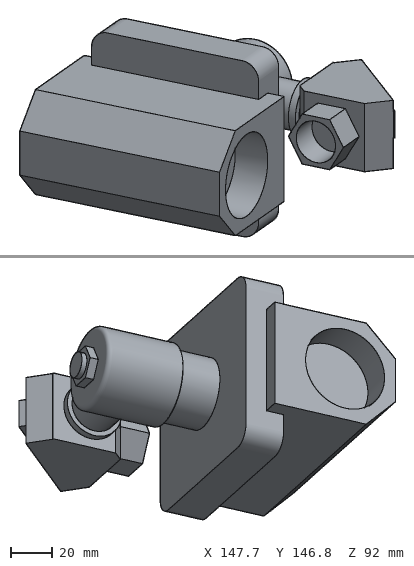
import cadquery as cq
import math


block_length = 110.0
block_height = 55.0
block_depth = 65.5
block_chamfer = 16.0
port_diameter = 42.8
port_depth = 17.9
flange_size = 92.0
flange_front = 56.3
flange_back = 76.6
flange_corner_radius = 9.0
tube_diameter = 36.0

coil_diameter = 42.0
coil_bottom = 98.0
coil_top = 138.5
coil_fillet = 2.2
seat_diameter = 38.5
seat_height = 0.6
nut_width = 20.0
nut_top = 143.0
stud_diameter = 13.0
stud_top = 145.6
arm_height = 116.5
arm_diameter = 24.2
collar_diameter = 29.2
collar_start = 37.7
collar_end = 41.5
neck_diameter = 21.7

plug_thickness = 35.7
plug_left = 44.0
plug_right = 147.7 - block_length / 2
plug_bottom = 96.7
plug_lower_chamfer = 5.0
plug_shoulder_y = 135.7
plug_shoulder_width = 0.7
plug_peak_y = 145.3
cover_length = 40.0
cover_width = 14.2
cover_thickness = 4.3
cover_offset = 2.2
gland_x = 64.2
gland_width = 30.3
gland_length = 16.0
gland_bore = 21.5


def section_at(y):
    """Workplane across the valve axis at height y; its normal points to +Y."""
    return cq.Workplane("XZ", origin=(0, y, 0)).transformed(rotate=(180, 0, 0))


def cylinder_along_y(diameter, start, end):
    return section_at(start).circle(diameter / 2).extrude(end - start)


def arm_cylinder(diameter, start, end):
    """Cylinder along the side arm, between two X positions."""
    return (
        cq.Workplane("YZ", origin=(start, arm_height, 0))
        .circle(diameter / 2)
        .extrude(end - start)
    )


def make_valve_body():
    block = (
        cq.Workplane("XY")
        .box(block_length, block_depth, block_height, centered=(True, False, True))
        .faces("<Y")
        .edges("|X")
        .chamfer(block_chamfer)
    )
    flange = (
        section_at(flange_front)
        .rect(flange_size, flange_size)
        .extrude(flange_back - flange_front)
        .edges("|Y")
        .fillet(flange_corner_radius)
    )
    tube = cylinder_along_y(tube_diameter, flange_back, coil_bottom - seat_height)
    body = block.union(flange).union(tube)

    port_center_y = block_height / 2
    for port_start in (-block_length / 2, block_length / 2 - port_depth):
        port = (
            cq.Workplane("YZ", origin=(port_start, port_center_y, 0))
            .circle(port_diameter / 2)
            .extrude(port_depth)
        )
        body = body.cut(port)
    return body


def make_coil():
    coil = cylinder_along_y(coil_diameter, coil_bottom, coil_top)
    coil = coil.faces(">Y").edges().fillet(coil_fillet)
    seat = cylinder_along_y(seat_diameter, coil_bottom - seat_height, coil_bottom)
    nut = section_at(coil_top).polygon(6, nut_width).extrude(nut_top - coil_top)
    stud = cylinder_along_y(stud_diameter, nut_top, stud_top)
    arm = arm_cylinder(arm_diameter, 0, collar_start)
    collar = arm_cylinder(collar_diameter, collar_start, collar_end)
    neck = arm_cylinder(neck_diameter, collar_end, plug_left)
    for piece in (seat, nut, stud, arm, collar, neck):
        coil = coil.union(piece)
    return coil


def make_plug():
    shoulder_x = plug_left + plug_shoulder_width
    peak_x = shoulder_x + plug_peak_y - plug_shoulder_y
    right_y = plug_peak_y - (plug_right - peak_x)
    housing = (
        cq.Workplane("XY")
        .polyline([
            (plug_left, plug_bottom + plug_lower_chamfer),
            (plug_left, plug_shoulder_y),
            (shoulder_x, plug_shoulder_y),
            (peak_x, plug_peak_y),
            (plug_right, right_y),
            (plug_right - (right_y - plug_bottom), plug_bottom),
            (plug_left + plug_lower_chamfer, plug_bottom),
        ])
        .close()
        .extrude(plug_thickness / 2, both=True)
    )

    diagonal = math.sqrt(0.5)
    slope = cq.Plane(
        origin=(peak_x, plug_peak_y, 0),
        xDir=(diagonal, -diagonal, 0),
        normal=(diagonal, diagonal, 0),
    )
    cover = (
        cq.Workplane(slope)
        .center(cover_offset + cover_length / 2, 0)
        .rect(cover_length, cover_width)
        .extrude(cover_thickness)
    )

    gland = (
        section_at(plug_bottom - gland_length)
        .center(gland_x, 0)
        .polygon(6, gland_width)
        .circle(gland_bore / 2)
        .extrude(gland_length)
    )
    return housing.union(cover).union(gland)


valve_body = make_valve_body()
coil = make_coil()
plug = make_plug()

result = cq.Compound.makeCompound([valve_body.val(), coil.val(), plug.val()])